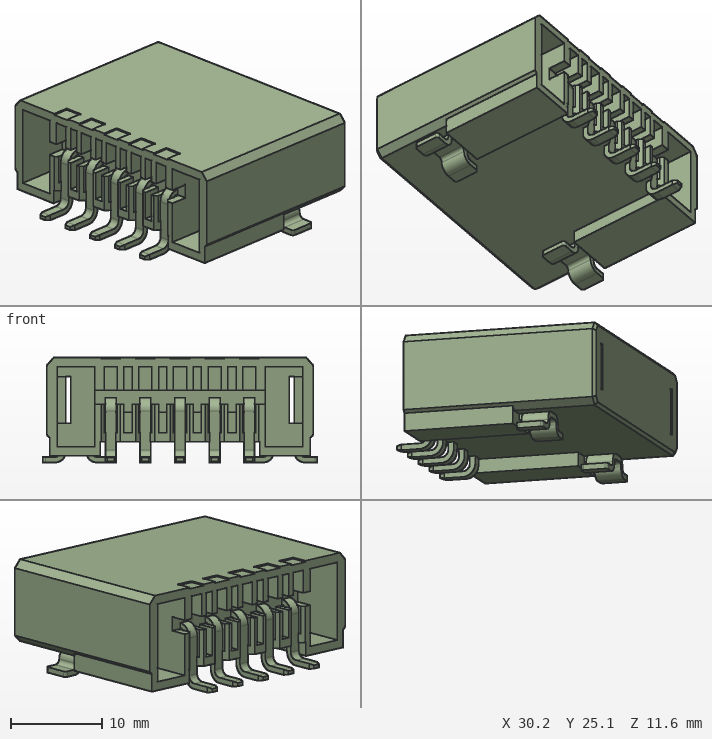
import cadquery as cq
import math


body_half_width = 14.63
body_depth = 22.15
body_top = 11.55
body_bottom = 2.25
top_bevel_width = 0.78
top_bevel_height = 0.87
side_bottom = 3.05
bottom_bevel = side_bottom - body_bottom
rear_bevel = 0.33

foot_outer = 14.3
foot_inner = 8.75
foot_bottom = 0.72
foot_length = 12.52

cavity_outer = 13.45
cavity_inner = 9.38
cavity_center = (cavity_outer + cavity_inner) / 2
cavity_bottom = 1.72
cavity_top = 10.53
cavity_depth = 11.45

contact_count = 5
pitch = 3.8
bar_bottom = 5.52
bar_top = 7.95
post_top = 6.4
window_bottom = 3.25
recess_depth = 2.05
wide_window = 1.45
narrow_window = 0.9
groove_width = 2.1
groove_back_width = 0.85
groove_depth = 0.72

pad_width = 2.1
pad_length = 1.95
pad_recess = 0.15

metal_thickness = 0.63

contact_width = 1.2
contact_tip = -2.93
contact_outer_bend = 1.42
contact_inner_bend = contact_outer_bend - metal_thickness
contact_front = 0.57
contact_rear = contact_front + metal_thickness
contact_top = 7.1
contact_embed = 1.2
tip_length = 0.55
tip_side_inset = 0.2
tip_face_inset = 0.12

clip_reach = 15.08
clip_half_span = clip_reach - cavity_center
clip_outer_bend = 1.18
clip_inner_bend = clip_outer_bend - metal_thickness
clip_leg_face = 1.12
clip_crown_outer_bend = body_bottom - clip_outer_bend
clip_crown_inner_bend = clip_crown_outer_bend - metal_thickness
clip_front = 13.15
clip_width = 3.08
clip_corner = 0.3
clip_tongue_width = 1.1

slot_bottom = 4.35
slot_top = 9.45
slot_inner = 12.0
slot_outer = 12.52
slot_step = 13.15

contact_places = [(i - (contact_count - 1) / 2) * pitch for i in range(contact_count)]
gap_places = [x + pitch / 2 for x in contact_places[:-1]]


def block(x0, x1, y0, y1, z0, z1):
    """Axis-aligned block between two opposite corners."""
    return cq.Workplane("XY").box(x1 - x0, y1 - y0, z1 - z0, centered=False).translate((x0, y0, z0))


def mirrored(shape):
    """The shape together with its mirror image across the YZ plane."""
    return shape.union(shape.mirror("YZ"))


def housing_shell():
    half = [
        (body_half_width - bottom_bevel, body_bottom),
        (body_half_width, side_bottom),
        (body_half_width, body_top - top_bevel_height),
        (body_half_width - top_bevel_width, body_top),
    ]
    other_half = [(-x, z) for x, z in reversed(half)]
    shell = cq.Workplane("XZ").polyline(half + other_half).close().extrude(-body_depth)
    shell = shell.faces(">Y").chamfer(rear_bevel)
    foot_top = side_bottom - (body_half_width - foot_outer)
    foot = block(foot_inner, foot_outer, 0, foot_length, foot_bottom, foot_top)
    return shell.union(mirrored(foot))


def latch_cavities():
    cavity = block(cavity_inner, cavity_outer, 0, cavity_depth, cavity_bottom, cavity_top)
    wide_slot = block(slot_inner, cavity_outer, cavity_depth, slot_step, slot_bottom, slot_top)
    narrow_slot = block(slot_inner, slot_outer, slot_step, body_depth, slot_bottom, slot_top)
    return mirrored(cavity.union(wide_slot).union(narrow_slot))


def window(x, width):
    """Opening above and below the bar, and through the lower wall in front of it."""
    x0 = x - width / 2
    x1 = x + width / 2
    upper = block(x0, x1, 0, cavity_depth, bar_top, cavity_top)
    lower = block(x0, x1, recess_depth, cavity_depth, window_bottom, bar_bottom)
    notch = block(x0, x1, 0, recess_depth, window_bottom, post_top)
    return upper.union(lower).union(notch)


def contact_groove(x):
    """Groove in the lower wall that narrows from the mating face to its back and is open below."""
    return (
        cq.Workplane("XY")
        .workplane(offset=body_bottom)
        .moveTo(x - groove_width / 2, 0)
        .lineTo(x + groove_width / 2, 0)
        .lineTo(x + groove_back_width / 2, groove_depth)
        .lineTo(x - groove_back_width / 2, groove_depth)
        .close()
        .extrude(post_top - body_bottom)
    )


def contact_openings():
    openings = block(-cavity_inner, cavity_inner, 0, recess_depth, post_top, bar_top)
    for x in contact_places:
        openings = openings.union(window(x, wide_window)).union(contact_groove(x))
    for x in gap_places:
        openings = openings.union(window(x, narrow_window))
    return openings


def number_pads():
    pads = cq.Workplane("XY")
    for x in contact_places:
        pads = pads.union(
            block(x - pad_width / 2, x + pad_width / 2, 0, pad_length, body_top - pad_recess, body_top)
        )
    return pads


def contact(x):
    """Contact leaving the bar, bent down in front of it and forward along the board."""
    cos45 = math.sqrt(0.5)
    tail_bend_y = contact_rear - contact_outer_bend
    top_bend_y = contact_front + contact_outer_bend
    top_bend_z = contact_top - contact_outer_bend
    embedded_end = recess_depth + contact_embed
    tip_start = contact_tip + tip_length
    strip = (
        cq.Workplane("YZ")
        .moveTo(tip_start, 0)
        .lineTo(tail_bend_y, 0)
        .threePointArc(
            (tail_bend_y + contact_outer_bend * cos45, contact_outer_bend * (1 - cos45)),
            (contact_rear, contact_outer_bend),
        )
        .lineTo(contact_rear, top_bend_z)
        .threePointArc(
            (top_bend_y - contact_inner_bend * cos45, top_bend_z + contact_inner_bend * cos45),
            (top_bend_y, top_bend_z + contact_inner_bend),
        )
        .lineTo(embedded_end, top_bend_z + contact_inner_bend)
        .lineTo(embedded_end, contact_top)
        .lineTo(top_bend_y, contact_top)
        .threePointArc(
            (top_bend_y - contact_outer_bend * cos45, top_bend_z + contact_outer_bend * cos45),
            (contact_front, top_bend_z),
        )
        .lineTo(contact_front, contact_outer_bend)
        .threePointArc(
            (tail_bend_y + contact_inner_bend * cos45, contact_outer_bend - contact_inner_bend * cos45),
            (tail_bend_y, metal_thickness),
        )
        .lineTo(tip_start, metal_thickness)
        .close()
        .extrude(contact_width / 2, both=True)
    )
    tip = (
        cq.Workplane("XZ", origin=(0, tip_start, metal_thickness / 2))
        .rect(contact_width, metal_thickness)
        .workplane(offset=tip_length)
        .rect(contact_width - 2 * tip_side_inset, metal_thickness - 2 * tip_face_inset)
        .loft()
    )
    return strip.union(tip).translate((x, 0, 0))


def clip_half():
    """Half of a hat-shaped clip: foot, leg and crown up to the middle of the clip at X = 0."""
    cos45 = math.sqrt(0.5)
    outer_face = clip_leg_face + metal_thickness
    foot_bend_x = clip_leg_face + clip_outer_bend
    crown_bend_x = outer_face - clip_crown_outer_bend
    bend_z = clip_outer_bend
    half = (
        cq.Workplane("XZ", origin=(0, clip_front, 0))
        .moveTo(clip_half_span, 0)
        .lineTo(foot_bend_x, 0)
        .threePointArc(
            (foot_bend_x - clip_outer_bend * cos45, bend_z - clip_outer_bend * cos45),
            (clip_leg_face, bend_z),
        )
        .threePointArc(
            (crown_bend_x + clip_crown_inner_bend * cos45, bend_z + clip_crown_inner_bend * cos45),
            (crown_bend_x, bend_z + clip_crown_inner_bend),
        )
        .lineTo(0, bend_z + clip_crown_inner_bend)
        .lineTo(0, body_bottom)
        .lineTo(crown_bend_x, body_bottom)
        .threePointArc(
            (crown_bend_x + clip_crown_outer_bend * cos45, bend_z + clip_crown_outer_bend * cos45),
            (outer_face, bend_z),
        )
        .threePointArc(
            (foot_bend_x - clip_inner_bend * cos45, bend_z - clip_inner_bend * cos45),
            (foot_bend_x, metal_thickness),
        )
        .lineTo(clip_half_span, metal_thickness)
        .close()
        .extrude(-clip_width)
    )
    return half.faces(">X").edges("|Z").fillet(clip_corner)


def clips():
    """Hold-down clips under both sides, each with a tongue reaching forward to the foot."""
    tongue = block(
        -clip_tongue_width / 2,
        clip_tongue_width / 2,
        foot_length,
        clip_front,
        body_bottom - metal_thickness,
        body_bottom,
    )
    clip = mirrored(clip_half()).union(tongue)
    return mirrored(clip.translate((cavity_center, 0, 0)))


result = housing_shell().cut(latch_cavities()).cut(contact_openings()).cut(number_pads())
result = result.union(clips())
for place in contact_places:
    result = result.union(contact(place))